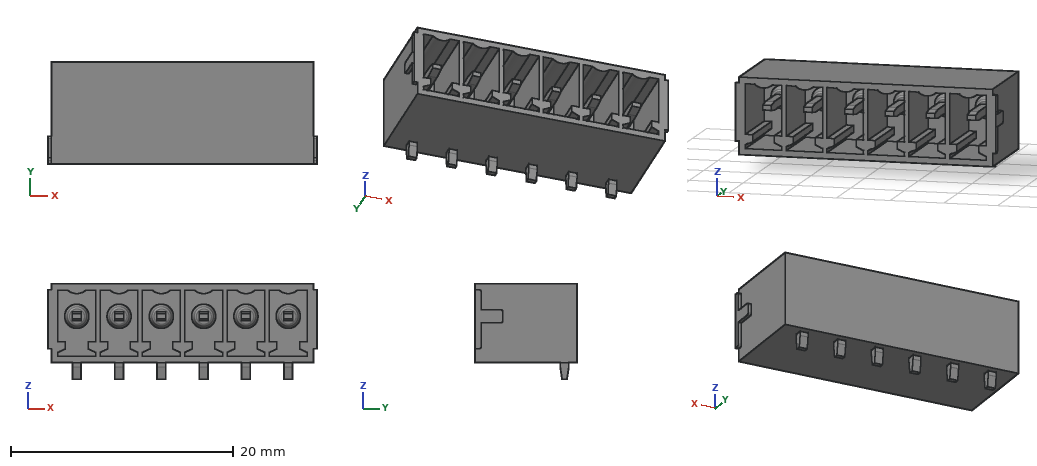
import cadquery as cq

OVERALL_WIDTH = 24.25
EAR_THICKNESS = 0.32
HOUSING_WIDTH = OVERALL_WIDTH - 2 * EAR_THICKNESS
HOUSING_DEPTH = 9.2
HOUSING_HEIGHT = 7.1

CONTACT_COUNT = 6
PITCH = 3.8
CONTACT_POSITIONS = [(i - (CONTACT_COUNT - 1) / 2) * PITCH for i in range(CONTACT_COUNT)]

PARTITION = 0.41
CELL_WIDTH = PITCH - PARTITION
CELL_DEPTH = 6.8
CELL_BOTTOM = 0.58
CELL_TOP = HOUSING_HEIGHT - CELL_BOTTOM

RAIL_WIDTH = 0.68
RAIL_TOP = 1.9
RAIL_SIDE_BOTTOM = 1.24
RAIL_WALL_BOTTOM = 0.92

RIB_WIDTH = 1.65
RIB_DROP = 0.32

PIN_THICKNESS = 0.8
PIN_AXIS_Z = 4.17
PIN_TIP_Y = 1.25
PIN_TIP_THICKNESS = 0.45
PIN_TAPER = 1.12
LEG_BACK_Y = 8.46
LEG_LENGTH = 1.5

COLLAR_BASE_RADIUS = 1.1
COLLAR_TOP_RADIUS = 0.82
COLLAR_HEIGHT = 0.97
COLLAR_ROUNDING = 0.2

EAR_BOTTOM = 1.24
EAR_TOP = 6.57
EAR_BAR_DEPTH = 0.58
TONGUE_BOTTOM = 3.6
TONGUE_TOP = 4.75
TONGUE_DEPTH = 2.52
EAR_BAR_ROUNDING = 0.25
TONGUE_ROUNDING = 0.2


def make_cell(x):
    """Cavity of one cell: a keyhole outline with the rib left standing at its top."""
    half = CELL_WIDTH / 2
    throat = half - RAIL_WIDTH
    return (
        cq.Workplane("XZ", origin=(x, 0, 0))
        .moveTo(-half, CELL_BOTTOM)
        .lineTo(half, CELL_BOTTOM)
        .lineTo(half, RAIL_WALL_BOTTOM)
        .lineTo(throat, RAIL_SIDE_BOTTOM)
        .lineTo(throat, RAIL_TOP)
        .lineTo(half, RAIL_TOP)
        .lineTo(half, CELL_TOP)
        .lineTo(RIB_WIDTH / 2, CELL_TOP)
        .threePointArc((0, CELL_TOP - RIB_DROP), (-RIB_WIDTH / 2, CELL_TOP))
        .lineTo(-half, CELL_TOP)
        .lineTo(-half, RAIL_TOP)
        .lineTo(-throat, RAIL_TOP)
        .lineTo(-throat, RAIL_SIDE_BOTTOM)
        .lineTo(-half, RAIL_WALL_BOTTOM)
        .close()
        .extrude(-CELL_DEPTH)
    )


def make_collar(x):
    """Tapered collar with a rounded rim, rising from the cell floor toward the mating face."""
    return (
        cq.Workplane("XZ", origin=(x, CELL_DEPTH, PIN_AXIS_Z))
        .circle(COLLAR_BASE_RADIUS)
        .workplane(offset=COLLAR_HEIGHT)
        .circle(COLLAR_TOP_RADIUS)
        .loft()
        .faces("<Y")
        .edges()
        .fillet(COLLAR_ROUNDING)
    )


def make_pin(x):
    """Square L-shaped pin whose tip and leg are tapered on two opposite sides."""
    half = PIN_THICKNESS / 2
    tip_half = PIN_TIP_THICKNESS / 2
    leg_y = LEG_BACK_Y - half
    taper_y = PIN_TIP_Y + PIN_TAPER
    leg_bottom = -LEG_LENGTH
    taper_z = leg_bottom + PIN_TAPER
    outline = [
        (PIN_TIP_Y, PIN_AXIS_Z + tip_half),
        (taper_y, PIN_AXIS_Z + half),
        (LEG_BACK_Y, PIN_AXIS_Z + half),
        (LEG_BACK_Y, taper_z),
        (leg_y + tip_half, leg_bottom),
        (leg_y - tip_half, leg_bottom),
        (leg_y - half, taper_z),
        (leg_y - half, PIN_AXIS_Z - half),
        (taper_y, PIN_AXIS_Z - half),
        (PIN_TIP_Y, PIN_AXIS_Z - tip_half),
    ]
    return cq.Workplane("YZ", origin=(x, 0, 0)).polyline(outline).close().extrude(half, both=True)


def make_ear_plate(depth, bottom, top, rounding):
    """Plate across the full width, flush with the mating face, with its rear edges rounded."""
    return (
        cq.Workplane("XY", origin=(0, 0, bottom))
        .box(OVERALL_WIDTH, depth, top - bottom, centered=(True, False, False))
        .edges("|X and >Y")
        .fillet(rounding)
    )


def make_ears():
    """T-shaped ears on both ends: plates wider than the housing that stand out of its sides."""
    bar = make_ear_plate(EAR_BAR_DEPTH, EAR_BOTTOM, EAR_TOP, EAR_BAR_ROUNDING)
    tongue = make_ear_plate(TONGUE_DEPTH, TONGUE_BOTTOM, TONGUE_TOP, TONGUE_ROUNDING)
    return bar.union(tongue)


def make_housing(pins):
    """Shell with ears, one cell and collar per contact, and a matching passage for each pin."""
    housing = cq.Workplane("XY").box(
        HOUSING_WIDTH, HOUSING_DEPTH, HOUSING_HEIGHT, centered=(True, False, False)
    )
    housing = housing.union(make_ears())
    for x in CONTACT_POSITIONS:
        housing = housing.cut(make_cell(x)).union(make_collar(x))
    for pin in pins:
        housing = housing.cut(pin)
    return housing


pins = [make_pin(x) for x in CONTACT_POSITIONS]
housing = make_housing(pins)

result = cq.Compound.makeCompound([housing.val(), *[pin.val() for pin in pins]])